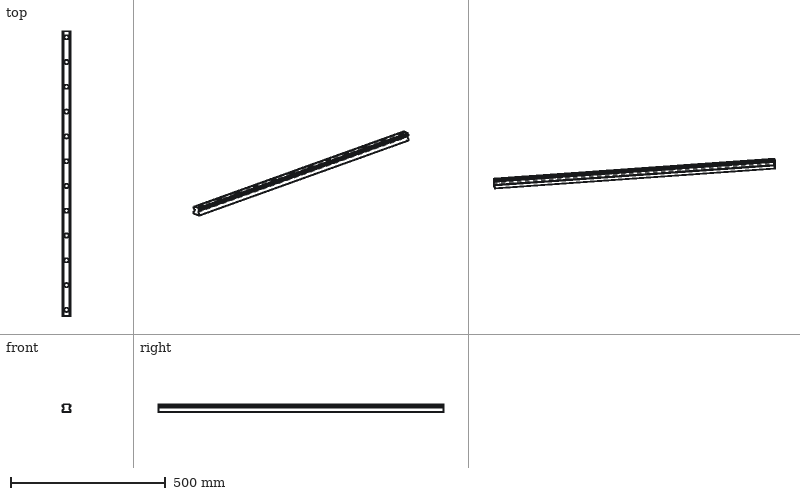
import cadquery as cq

RAIL_WIDTH = 28.0
RAIL_LENGTH = 920.0
RAIL_HEIGHT = 26.0

TOP_WIDTH = 18.7
TOP_EDGE_DEPTH = 1.3
GROOVE_RADIUS = 4.5
LIP_ROOT_WIDTH = 24.0
LIP_ROOT_TOP = 22.1
LIP_TIP_TOP = 21.2
LIP_TIP_BOTTOM = 20.0
LIP_ROOT_BOTTOM = 17.2

WAIST_WIDTH = 18.0
WAIST_TOP = 14.4
FOOT_HEIGHT = 5.5
FOOT_CHAMFER = 1.6
SHOULDER_FILLET = 2.2
FOOT_FILLET = 0.6

HOLE_PITCH = 80.0
HOLE_COUNT = 12
HOLE_DIAMETER = 14.0
HOLE_DEPTH = 0.2

PICK_MARGIN = 0.1


def make_rail_bar():
    """Extrude the symmetric rail section along Y, with sharp shoulder and foot corners."""
    half_width = RAIL_WIDTH / 2
    half_top = TOP_WIDTH / 2
    half_lip_root = LIP_ROOT_WIDTH / 2
    half_waist = WAIST_WIDTH / 2
    right_side = (
        cq.Workplane("XZ", origin=(0, RAIL_LENGTH / 2, 0))
        .moveTo(0, 0)
        .lineTo(half_width - FOOT_CHAMFER, 0)
        .lineTo(half_width, FOOT_CHAMFER)
        .lineTo(half_width, FOOT_HEIGHT)
        .lineTo(half_waist, shoulder_top())
        .lineTo(half_waist, WAIST_TOP)
        .radiusArc((half_lip_root, LIP_ROOT_BOTTOM), GROOVE_RADIUS)
        .lineTo(half_width, LIP_TIP_BOTTOM)
        .lineTo(half_width, LIP_TIP_TOP)
        .lineTo(half_lip_root, LIP_ROOT_TOP)
        .radiusArc((half_top, RAIL_HEIGHT - TOP_EDGE_DEPTH), GROOVE_RADIUS)
        .lineTo(half_top, RAIL_HEIGHT)
        .lineTo(0, RAIL_HEIGHT)
    )
    return right_side.mirrorY().extrude(RAIL_LENGTH).clean()


def shoulder_top():
    """Height where the 45 degree shoulder meets the waist."""
    return FOOT_HEIGHT + (RAIL_WIDTH - WAIST_WIDTH) / 2


def fillet_long_edges(bar, spacing, height, radius):
    """Round the mirrored pair of lengthwise edges that lie this far apart at this height."""
    for side in (-1, 1):
        x = side * spacing / 2
        low = (x - PICK_MARGIN, -RAIL_LENGTH, height - PICK_MARGIN)
        high = (x + PICK_MARGIN, RAIL_LENGTH, height + PICK_MARGIN)
        bar = bar.edges(cq.selectors.BoxSelector(low, high)).fillet(radius)
    return bar


def cut_mounting_holes(rail):
    """Cut the row of flat-bottomed holes in the top face."""
    first_y = -HOLE_PITCH * (HOLE_COUNT - 1) / 2
    centres = [(0, first_y + HOLE_PITCH * i) for i in range(HOLE_COUNT)]
    holes = (
        cq.Workplane("XY", origin=(0, 0, RAIL_HEIGHT - HOLE_DEPTH))
        .pushPoints(centres)
        .circle(HOLE_DIAMETER / 2)
        .extrude(HOLE_DEPTH)
    )
    return rail.cut(holes)


rail_bar = make_rail_bar()
rail_bar = fillet_long_edges(rail_bar, WAIST_WIDTH, shoulder_top(), SHOULDER_FILLET)
rail_bar = fillet_long_edges(rail_bar, RAIL_WIDTH, FOOT_HEIGHT, FOOT_FILLET)
result = cut_mounting_holes(rail_bar)